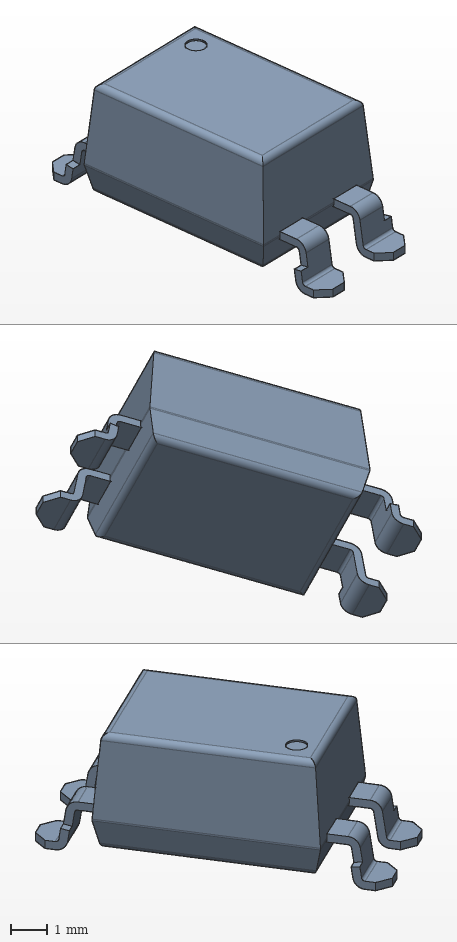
import cadquery as cq
import math

overall_length = 10.16
overall_height = 3.85

housing_length = 6.5
housing_width = 4.59
housing_bottom = 0.36
parting_band_height = 0.05
upper_draft = 4.7
lower_draft = 12.5
rim_radius = 0.2

lead_thickness = 0.25
lead_top = 1.41
lead_row_offset = 1.27
foot_width = 1.24
foot_chamfer = 0.38
shoulder_width = 0.28
shoulder_height = 0.66
lead_tilt = math.radians(8.7)
inner_bend_radius = 0.1
upper_bend_x = -3.84
embedded_length = 0.51

marker_radius = 0.3
marker_x = -2.29
marker_y = lead_row_offset
marker_recess_depth = 0.1
marker_thickness = 0.05

parting_height = lead_top - lead_thickness / 2
band_bottom = parting_height - parting_band_height / 2
band_top = parting_height + parting_band_height / 2
outer_bend_radius = inner_bend_radius + lead_thickness
foot_inner_y = lead_row_offset - foot_width / 2
foot_outer_y = lead_row_offset + foot_width / 2
lead_tip_x = -overall_length / 2
lead_end_x = -housing_length / 2 + embedded_length
marker_floor = overall_height - marker_recess_depth


def make_housing_blank():
    """Two tapered blocks joined by the parting band, rounded at both rims."""
    band = (
        cq.Workplane("XY")
        .workplane(offset=band_bottom)
        .rect(housing_length, housing_width)
        .extrude(parting_band_height)
    )
    upper = (
        band.faces(">Z")
        .workplane()
        .rect(housing_length, housing_width)
        .extrude(overall_height - band_top, taper=upper_draft, combine=False)
    )
    lower = (
        band.faces("<Z")
        .workplane()
        .rect(housing_length, housing_width)
        .extrude(band_bottom - housing_bottom, taper=lower_draft, combine=False)
    )
    blank = band.union(upper).union(lower)
    return blank.faces(">Z or <Z").edges().fillet(rim_radius)


def bend_point(center, radius, angle):
    """Point on a bend arc, with the angle measured from +X toward +Z."""
    return (center[0] + radius * math.cos(angle), center[1] + radius * math.sin(angle))


def make_lead():
    """Gull-wing lead of the -X, +Y corner."""
    upper_center = (upper_bend_x, lead_top - outer_bend_radius)
    lower_center_z = lead_thickness + inner_bend_radius
    rise = upper_center[1] - lower_center_z
    bend_gap = outer_bend_radius + inner_bend_radius
    run = (bend_gap + rise * math.sin(lead_tilt)) / math.cos(lead_tilt)
    lower_center = (upper_bend_x - run, lower_center_z)

    upper_start = math.pi - lead_tilt
    upper_middle = (upper_start + math.pi / 2) / 2
    lower_start = -math.pi / 2
    lower_end = -lead_tilt
    lower_middle = (lower_start + lower_end) / 2

    lead = (
        cq.Workplane("XZ", origin=(0, foot_outer_y, 0))
        .moveTo(lead_tip_x, 0)
        .lineTo(lower_center[0], 0)
        .threePointArc(
            bend_point(lower_center, outer_bend_radius, lower_middle),
            bend_point(lower_center, outer_bend_radius, lower_end),
        )
        .lineTo(*bend_point(upper_center, inner_bend_radius, upper_start))
        .threePointArc(
            bend_point(upper_center, inner_bend_radius, upper_middle),
            bend_point(upper_center, inner_bend_radius, math.pi / 2),
        )
        .lineTo(lead_end_x, lead_top - lead_thickness)
        .lineTo(lead_end_x, lead_top)
        .lineTo(upper_bend_x, lead_top)
        .threePointArc(
            bend_point(upper_center, outer_bend_radius, upper_middle),
            bend_point(upper_center, outer_bend_radius, upper_start),
        )
        .lineTo(*bend_point(lower_center, inner_bend_radius, lower_end))
        .threePointArc(
            bend_point(lower_center, inner_bend_radius, lower_middle),
            bend_point(lower_center, inner_bend_radius, lower_start),
        )
        .lineTo(lead_tip_x, lead_thickness)
        .close()
        .extrude(foot_width)
    )
    lead = lead.faces("<X").edges("|Z").chamfer(foot_chamfer)

    leg_middle_radius = inner_bend_radius + lead_thickness / 2
    leg_x, leg_z = bend_point(lower_center, leg_middle_radius, lower_end)
    shoulder_x = leg_x + (shoulder_height - leg_z) * math.tan(lead_tilt)
    relief = (
        cq.Workplane("XY")
        .box(overall_length, shoulder_width, overall_height, centered=(True, False, False))
        .rotate((0, 0, 0), (0, 1, 0), math.degrees(lead_tilt))
        .translate((shoulder_x, foot_outer_y - shoulder_width, shoulder_height))
    )
    return lead.cut(relief)


def make_leads():
    """One lead in each corner, mirrored about both vertical middle planes."""
    leads = []
    for flip_x in (False, True):
        for flip_y in (False, True):
            lead = make_lead()
            if flip_x:
                lead = lead.mirror("YZ")
            if flip_y:
                lead = lead.mirror("XZ")
            leads.append(lead)
    return leads


def make_marker_disc(height):
    """Disc standing on the floor of the marker recess."""
    return (
        cq.Workplane("XY", origin=(marker_x, marker_y, marker_floor))
        .circle(marker_radius)
        .extrude(height)
    )


def make_housing(leads):
    """Housing with a matching pocket for each lead and the marker recess."""
    housing = make_housing_blank().cut(make_marker_disc(marker_recess_depth))
    for lead in leads:
        housing = housing.cut(lead)
    return housing


leads = make_leads()
housing = make_housing(leads)
marker = make_marker_disc(marker_thickness)

result = cq.Compound.makeCompound(
    [housing.solids().val(), marker.val(), *[lead.solids().val() for lead in leads]]
)